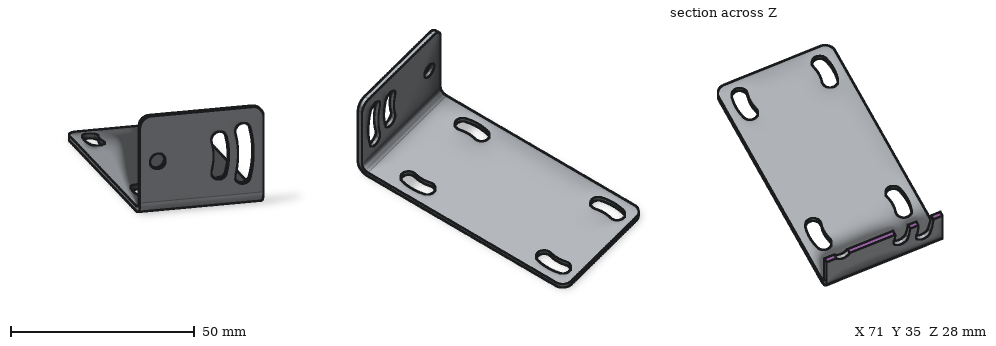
import cadquery as cq
import math

length = 71.0
width = 35.0
height = 28.0
thickness = 1.5
inner_bend_radius = 2.0
outer_bend_radius = inner_bend_radius + thickness
corner_radius = 3.0

hole_diameter = 4.4
slot_half_angle = 15.0

base_slot_radius = 12.5
base_pair_inset = 8.0
base_pair_spacing = 46.5

pivot_edge_distance = 5.0
pivot_height = 15.0
flange_slot_radii = (18.0, 25.0)

left_edge = 0.0
right_edge = left_edge + length
half_width = width / 2
pivot_y = -half_width + pivot_edge_distance
base_pair_x = (
    left_edge + base_pair_inset,
    left_edge + base_pair_inset + base_pair_spacing,
)


def bent_sheet():
    """L-shaped sheet with a rounded bend and rounded free corners."""
    sheet = (
        cq.Workplane("XZ")
        .moveTo(left_edge, 0)
        .lineTo(right_edge - outer_bend_radius, 0)
        .radiusArc((right_edge, outer_bend_radius), -outer_bend_radius)
        .lineTo(right_edge, height)
        .lineTo(right_edge - thickness, height)
        .lineTo(right_edge - thickness, outer_bend_radius)
        .radiusArc((right_edge - outer_bend_radius, thickness), inner_bend_radius)
        .lineTo(left_edge, thickness)
        .close()
        .extrude(half_width, both=True)
    )
    sheet = sheet.faces("<X").edges("|Z").fillet(corner_radius)
    return sheet.faces(">Z").edges("|X").fillet(corner_radius)


def curved_slot(plane, center, radius, mid_angle):
    """Cutter for a round-ended arc slot, one sheet thickness deep along the plane normal."""
    half_slot = hole_diameter / 2
    start_angle = mid_angle - slot_half_angle
    end_angle = mid_angle + slot_half_angle

    def polar(distance, angle):
        turn = math.radians(angle)
        return center[0] + distance * math.cos(turn), center[1] + distance * math.sin(turn)

    outer_radius = radius + half_slot
    inner_radius = radius - half_slot
    return (
        cq.Workplane(plane)
        .moveTo(*polar(outer_radius, start_angle))
        .threePointArc(polar(outer_radius, mid_angle), polar(outer_radius, end_angle))
        .radiusArc(polar(inner_radius, end_angle), -half_slot)
        .threePointArc(polar(inner_radius, mid_angle), polar(inner_radius, start_angle))
        .radiusArc(polar(outer_radius, start_angle), -half_slot)
        .close()
        .extrude(thickness)
    )


def cut_base_slots(body):
    """A facing pair of slots near each end of the base."""
    for pair_x in base_pair_x:
        for mid_angle in (90, 270):
            body = body.cut(curved_slot(cq.Plane.XY(), (pair_x, 0), base_slot_radius, mid_angle))
    return body


def cut_flange_openings(body):
    """Pivot hole through the upright flange and the adjustment slots around it."""
    flange_plane = cq.Plane.YZ(origin=(right_edge - thickness, 0, 0))
    pivot = (pivot_y, pivot_height)
    pivot_hole = cq.Workplane(flange_plane).center(*pivot).circle(hole_diameter / 2).extrude(thickness)
    body = body.cut(pivot_hole)
    for radius in flange_slot_radii:
        body = body.cut(curved_slot(flange_plane, pivot, radius, 0))
    return body


result = cut_flange_openings(cut_base_slots(bent_sheet()))